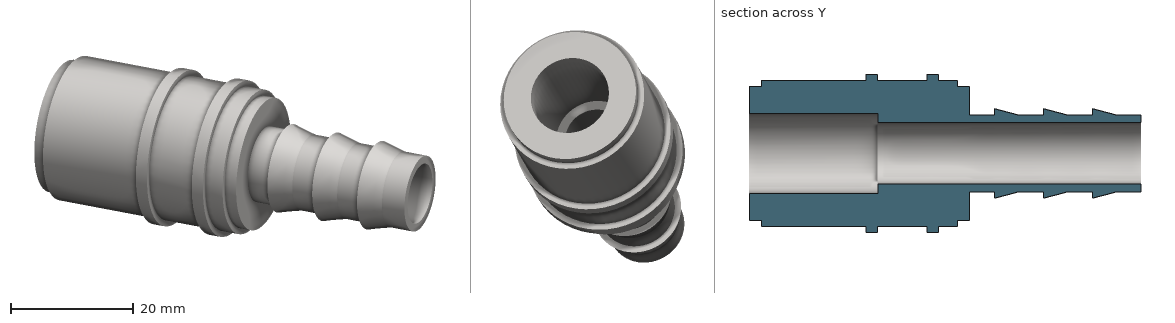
import cadquery as cq

total_length = 64.0
body_length = 36.0
end_step_length = 2.0
rear_gap = 3.1
ring_width = 2.0
front_ring_start = 19.0
rear_ring_start = body_length - end_step_length - rear_gap - ring_width

ring_diameter = 26.0
body_diameter = 24.0
end_step_diameter = 22.0
stem_diameter = 12.6

barb_diameter = 14.7
barb_count = 3
barb_pitch = 8.0
barb_length = barb_pitch / 2
first_barb_start = total_length - barb_count * barb_pitch

passage_diameter = 10.0
socket_diameter = 13.0
socket_depth = front_ring_start + ring_width


def cylinder(start, length, diameter):
    """Solid cylinder on the X axis."""
    return cq.Workplane("YZ", origin=(start, 0, 0)).circle(diameter / 2).extrude(length)


def barb(start):
    """Cone with a flat annular front face, tapering down to the stem toward +X."""
    cone = cq.Solid.makeCone(
        barb_diameter / 2,
        stem_diameter / 2,
        barb_length,
        pnt=cq.Vector(start, 0, 0),
        dir=cq.Vector(1, 0, 0),
    )
    return cq.Workplane(cone)


body = cylinder(0, body_length, end_step_diameter)
body = body.union(cylinder(end_step_length, body_length - 2 * end_step_length, body_diameter))
for ring_start in (front_ring_start, rear_ring_start):
    body = body.union(cylinder(ring_start, ring_width, ring_diameter))

stem = cylinder(body_length, total_length - body_length, stem_diameter)
for index in range(barb_count):
    stem = stem.union(barb(first_barb_start + index * barb_pitch))

result = (
    body.union(stem)
    .cut(cylinder(0, total_length, passage_diameter))
    .cut(cylinder(0, socket_depth, socket_diameter))
)